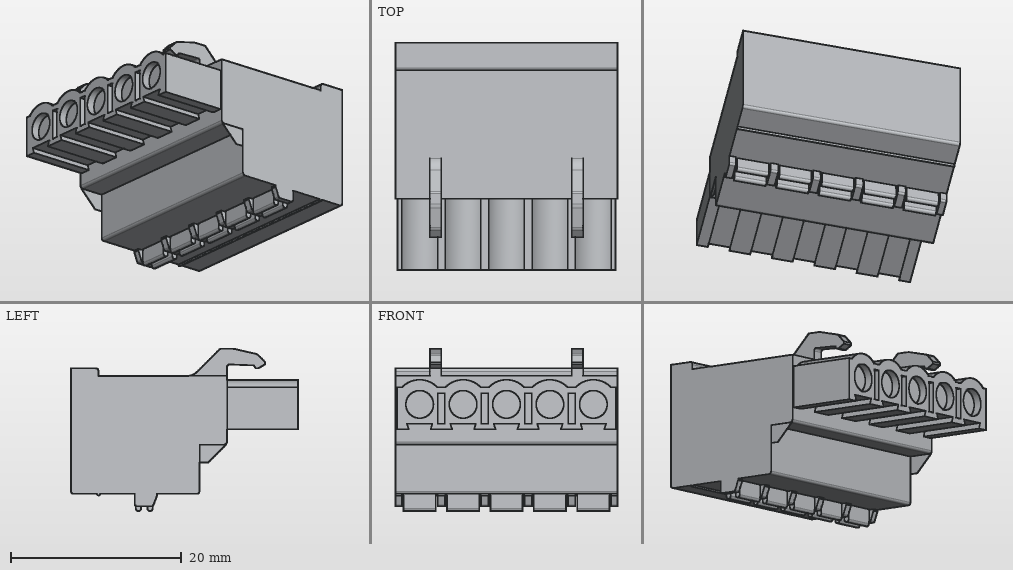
import cadquery as cq
import math


pole_count = 5
pitch = 5.08
pole_xs = [(i - (pole_count - 1) / 2) * pitch for i in range(pole_count)]
gap_xs = [x + pitch / 2 for x in pole_xs[:-1]]

side_margin = 0.31
housing_width = pole_count * pitch + 2 * side_margin
housing_top = 14.71
step_height = 0.9
deck_z = housing_top - step_height
step_depth = 3.24
housing_depth = 18.28
lower_depth = 15.06
overhang_z = 5.78
edge_radius = 0.33

web_inset = 0.01
web_thickness = 0.02
web_bottom_z = 3.66
web_bottom_depth = 16.06

overall_depth = 26.6
block_side_gap = 0.23
block_width = housing_width - 2 * block_side_gap
block_bottom_z = 7.56
shoulder_z = 12.47
barrel_z = 10.48
barrel_radius = 2.885
entry_diameter = 3.24
entry_depth = 1.0
slot_width = 0.8
slot_top_z = 11.8

groove_top_z = 8.24
groove_half_top = 1.5
groove_half_mouth = 1.28

hook_width = 1.36
hook_x = 8.3
hook_top_z = 17.0
hook_ramp_top_depth = 17.48
hook_root_radius = 1.85
hook_crest_radius = 0.3
hook_bend_depth = 19.07
hook_bend_radius = 2.0
hook_nose_depth = 21.8
hook_nose_z = 16.375
hook_nose_radius = 0.75
hook_tip_depth = 22.74
hook_tip_z = hook_nose_z - (hook_tip_depth - hook_nose_depth)
hook_tip_height = 0.27
hook_barb_z = 14.7
hook_barb_front_depth = 21.96
hook_barb_rear_depth = 21.62
hook_underside_z = 15.15
hook_underside_end_depth = 21.4
hook_underside_drop = 0.12
hook_inner_radius = 0.3

post_width = 0.9
post_rear_depth = 7.47
post_front_depth = 10.1
post_toe_depth = 9.62
post_height = 1.45
post_land = 0.2
post_corner_radius = 0.25
tab_width = 3.8
tab_height = 2.01
tab_thickness = 0.64
tab_rear_depths = [7.59, 8.95]

rib_radius = 0.18

anchor = 0.5


def side_profile(points):
    """Closed outline through (depth, z) points, on the plane X = 0."""
    return cq.Workplane("YZ").polyline([(-d, z) for d, z in points]).close()


def extrude_along_x(outline, x_center, width):
    return outline.extrude(width / 2, both=True).translate((x_center, 0, 0))


def round_edge(solid, depth, z, radius):
    """Fillet the X-parallel edge at the given depth and height."""
    tolerance = 0.01
    box = cq.selectors.BoxSelector(
        (-housing_width, -depth - tolerance, z - tolerance),
        (housing_width, -depth + tolerance, z + tolerance))
    return solid.edges("|X").edges(box).fillet(radius)


def make_housing():
    body = extrude_along_x(
        side_profile([
            (0, 0),
            (0, housing_top),
            (step_depth, housing_top),
            (step_depth, deck_z),
            (housing_depth, deck_z),
            (housing_depth, overhang_z),
            (lower_depth, overhang_z),
            (lower_depth, 0),
        ]), 0, housing_width)
    rounded_edges = [(0, 0), (step_depth, housing_top), (housing_depth, overhang_z), (lower_depth, 0)]
    for depth, z in rounded_edges:
        body = round_edge(body, depth, z, edge_radius)
    return body


def make_web(side):
    x_center = side * (housing_width / 2 - web_inset - web_thickness / 2)
    return extrude_along_x(
        side_profile([
            (lower_depth - edge_radius, overhang_z + edge_radius),
            (housing_depth - edge_radius, overhang_z + edge_radius),
            (web_bottom_depth + overhang_z - web_bottom_z, overhang_z),
            (web_bottom_depth, web_bottom_z),
            (lower_depth - edge_radius, web_bottom_z),
        ]), x_center, web_thickness)


def on_block(rear_depth):
    """Sketch plane facing forward; X and Z of the part are the sketch axes."""
    return cq.Workplane("XZ", origin=(0, -rear_depth, 0))


def make_plug_block():
    length = overall_depth - housing_depth
    half_width = block_width / 2
    half_chord = math.sqrt(barrel_radius**2 - (shoulder_z - barrel_z) ** 2)
    outline = (on_block(housing_depth)
               .moveTo(-half_width, block_bottom_z)
               .lineTo(-half_width, shoulder_z))
    for x in pole_xs:
        outline = (outline
                   .lineTo(x - half_chord, shoulder_z)
                   .threePointArc((x, barrel_z + barrel_radius), (x + half_chord, shoulder_z)))
    block = (outline
             .lineTo(half_width, shoulder_z)
             .lineTo(half_width, block_bottom_z)
             .close()
             .extrude(length))
    for x in pole_xs:
        block = block.cut(make_groove(x, length))
    entries = (on_block(overall_depth - entry_depth)
               .pushPoints([(x, barrel_z) for x in pole_xs])
               .circle(entry_diameter / 2)
               .extrude(entry_depth))
    slots = (on_block(housing_depth)
             .pushPoints([(x, (slot_top_z + groove_top_z) / 2) for x in gap_xs])
             .rect(slot_width, slot_top_z - groove_top_z)
             .extrude(length))
    return block.cut(entries).cut(slots)


def make_groove(x, length):
    outline = [
        (x - groove_half_mouth, block_bottom_z),
        (x - groove_half_top, groove_top_z),
        (x + groove_half_top, groove_top_z),
        (x + groove_half_mouth, block_bottom_z),
    ]
    return on_block(housing_depth).polyline(outline).close().extrude(length)


def make_hook(x):
    ramp_foot_depth = hook_ramp_top_depth - (hook_top_z - deck_z)
    hook = extrude_along_x(
        side_profile([
            (ramp_foot_depth, deck_z),
            (hook_ramp_top_depth, hook_top_z),
            (hook_bend_depth, hook_top_z),
            (hook_nose_depth, hook_nose_z),
            (hook_tip_depth, hook_tip_z),
            (hook_tip_depth, hook_tip_z - hook_tip_height),
            (hook_barb_front_depth, hook_barb_z),
            (hook_barb_rear_depth, hook_barb_z),
            (hook_underside_end_depth, hook_underside_z - hook_underside_drop),
            (housing_depth, hook_underside_z),
            (housing_depth, deck_z - anchor),
            (ramp_foot_depth, deck_z - anchor),
        ]), x, hook_width)
    for depth, z, radius in [
        (hook_ramp_top_depth, hook_top_z, hook_crest_radius),
        (hook_bend_depth, hook_top_z, hook_bend_radius),
        (hook_nose_depth, hook_nose_z, hook_nose_radius),
        (housing_depth, hook_underside_z, hook_inner_radius),
    ]:
        hook = round_edge(hook, depth, z, radius)
    return hook.union(make_hook_root(x, ramp_foot_depth))


def make_hook_root(x, foot_depth):
    """Concave blend between the deck and the 45 degree ramp."""
    half_angle = math.radians(45) / 2
    tangent = hook_root_radius * math.tan(half_angle)
    rise = tangent * math.sin(2 * half_angle)
    start_depth = foot_depth - tangent
    mid = (-(start_depth + hook_root_radius * math.sin(half_angle)),
           deck_z + hook_root_radius * (1 - math.cos(half_angle)))
    outline = (cq.Workplane("YZ")
               .moveTo(-start_depth, deck_z)
               .threePointArc(mid, (-(foot_depth + rise), deck_z + rise))
               .lineTo(-(foot_depth + rise), deck_z)
               .close())
    return extrude_along_x(outline, x, hook_width)


def make_post_bar():
    """Full-width bar with a sloped front; the openings split it into posts."""
    bar = extrude_along_x(
        side_profile([
            (post_rear_depth, anchor),
            (post_rear_depth, -post_height),
            (post_toe_depth, -post_height),
            (post_front_depth, -post_land),
            (post_front_depth, anchor),
        ]), 0, housing_width)
    for depth in (post_rear_depth, post_toe_depth):
        bar = round_edge(bar, depth, -post_height, post_corner_radius)
    return bar


def make_post_openings():
    """Gaps under the poles, open to the front, rear and bottom of the bar."""
    bar_middle = (post_rear_depth + post_front_depth) / 2
    bar_depth = post_front_depth - post_rear_depth
    return (cq.Workplane("XY")
            .pushPoints([(x, -bar_middle) for x in pole_xs])
            .rect(pitch - post_width, 2 * bar_depth)
            .extrude(-2 * post_height))


def make_tab(x, rear_depth):
    """Thin plate with a fully rounded lower edge."""
    radius = tab_thickness / 2
    round_z = -tab_height + radius
    outline = (cq.Workplane("YZ")
               .moveTo(-rear_depth, 0)
               .lineTo(-rear_depth, round_z)
               .threePointArc((-rear_depth - radius, -tab_height), (-rear_depth - tab_thickness, round_z))
               .lineTo(-rear_depth - tab_thickness, 0)
               .close())
    return extrude_along_x(outline, x, tab_width)


def make_rib():
    return extrude_along_x(cq.Workplane("YZ").center(-step_depth, 0).circle(rib_radius), 0, housing_width)


result = make_housing().union(make_post_bar(), clean=True).cut(make_post_openings())
for side in (-1, 1):
    result = result.union(make_hook(side * hook_x), clean=True)
for side in (-1, 1):
    result = result.union(make_web(side))
result = result.union(make_plug_block()).union(make_rib())
for x in pole_xs:
    for rear_depth in tab_rear_depths:
        result = result.union(make_tab(x, rear_depth))